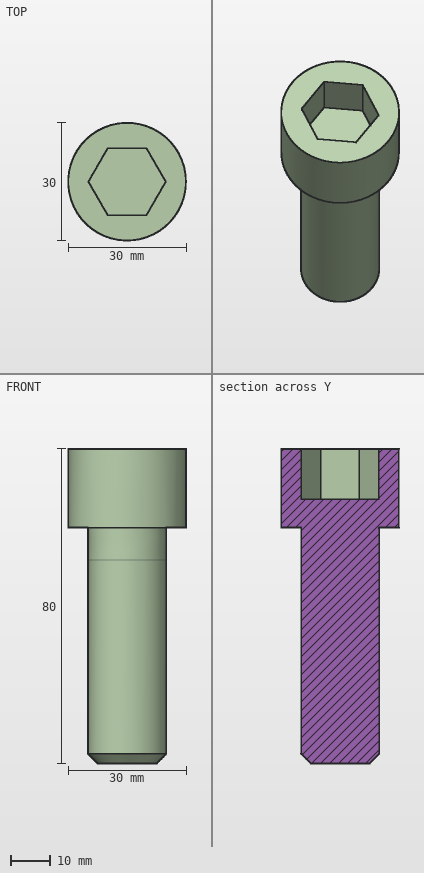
import cadquery as cq
import math

total_length = 80.0
head_diameter = 30.0
head_height = 20.0
shank_diameter = 20.0
tip_chamfer = 2.5

neck_length = 8.2
neck_top_diameter = 19.9

socket_across_flats = 17.0
socket_depth = 12.8

head_bottom = total_length - head_height
neck_bottom = head_bottom - neck_length
shank_radius = shank_diameter / 2
head_radius = head_diameter / 2


def make_body():
    """Revolve half of the screw profile about Z."""
    profile = (
        cq.Workplane("XZ")
        .lineTo(shank_radius - tip_chamfer, 0)
        .lineTo(shank_radius, tip_chamfer)
        .lineTo(shank_radius, neck_bottom)
        .lineTo(neck_top_diameter / 2, head_bottom)
        .lineTo(head_radius, head_bottom)
        .lineTo(head_radius, total_length)
        .lineTo(0, total_length)
        .close()
    )
    return profile.revolve(360, (0, 0, 0), (0, 1, 0))


def make_socket():
    """Hexagonal prism cut down into the head."""
    across_corners = socket_across_flats / math.cos(math.pi / 6)
    return (
        cq.Workplane("XY")
        .workplane(offset=total_length - socket_depth)
        .polygon(6, across_corners)
        .extrude(socket_depth)
    )


result = make_body().cut(make_socket())